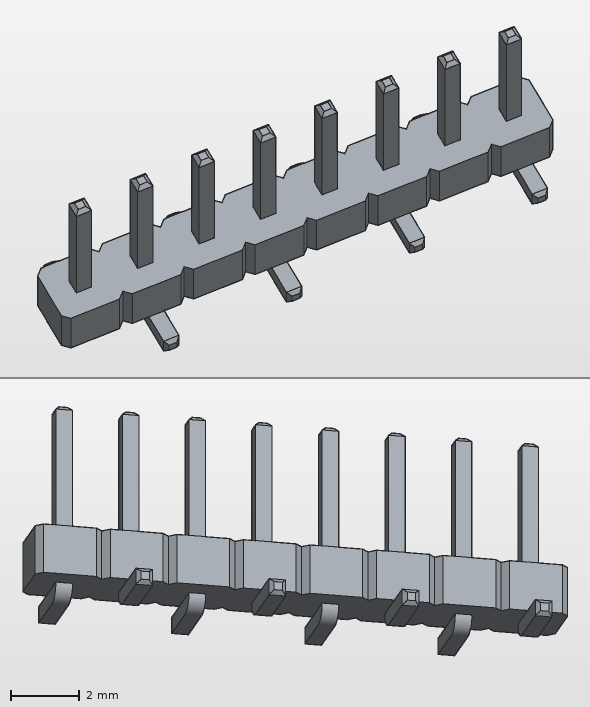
import cadquery as cq
import math

pin_count = 8
row_length = 16.0
pitch = row_length / pin_count

body_width = pitch
body_height = 1.5
corner_chamfer = 0.2

overall_width = 4.2
overall_height = 6.0
pin_width = pitch / 4
tip_width = pin_width / 2
tip_length = pin_width / 4

half_pin = pin_width / 2
body_bottom = pin_width
foot_reach = overall_width / 2


def pin_positions():
    """Y of each pin, from the -Y end of the row to the +Y end."""
    first = (pitch - row_length) / 2
    return [first + i * pitch for i in range(pin_count)]


def make_body():
    """Row of chamfered blocks; neighbouring chamfers meet as V notches."""
    block = (
        cq.Workplane("XY", origin=(0, 0, body_bottom))
        .box(body_width, pitch, body_height, centered=(True, True, False))
        .edges("|Z")
        .chamfer(corner_chamfer)
    )
    body = cq.Workplane("XY")
    for y in pin_positions():
        body = body.union(block.translate((0, y, 0)))
    return body


def make_tip(plane):
    """Truncated pyramid that ends a square bar, starting on the given plane."""
    return (
        cq.Workplane(plane)
        .rect(pin_width, pin_width)
        .workplane(offset=tip_length)
        .rect(tip_width, tip_width)
        .loft(ruled=True)
    )


def make_pin():
    """Upright square pin, bent at the bottom into a foot pointing to -X."""
    shaft_top = overall_height - tip_length
    foot_end = -foot_reach + tip_length

    bend_offset = pin_width * math.cos(math.radians(45))
    bend_middle = (-half_pin + bend_offset, pin_width - bend_offset)
    shaft_and_foot = (
        cq.Workplane("XZ")
        .moveTo(foot_end, 0)
        .lineTo(-half_pin, 0)
        .threePointArc(bend_middle, (half_pin, pin_width))
        .lineTo(half_pin, shaft_top)
        .lineTo(-half_pin, shaft_top)
        .lineTo(-half_pin, pin_width)
        .lineTo(foot_end, pin_width)
        .close()
        .extrude(half_pin, both=True)
    )
    top_plane = cq.Plane(origin=(0, 0, shaft_top), xDir=(1, 0, 0), normal=(0, 0, 1))
    foot_plane = cq.Plane(origin=(foot_end, 0, half_pin), xDir=(0, 1, 0), normal=(-1, 0, 0))
    return shaft_and_foot.union(make_tip(top_plane)).union(make_tip(foot_plane))


result = make_body()
left_pin = make_pin()
right_pin = left_pin.rotate((0, 0, 0), (0, 0, 1), 180)

for index, y in enumerate(pin_positions()):
    pin = left_pin if index % 2 == 0 else right_pin
    result = result.union(pin.translate((0, y, 0)))
result = result.clean()